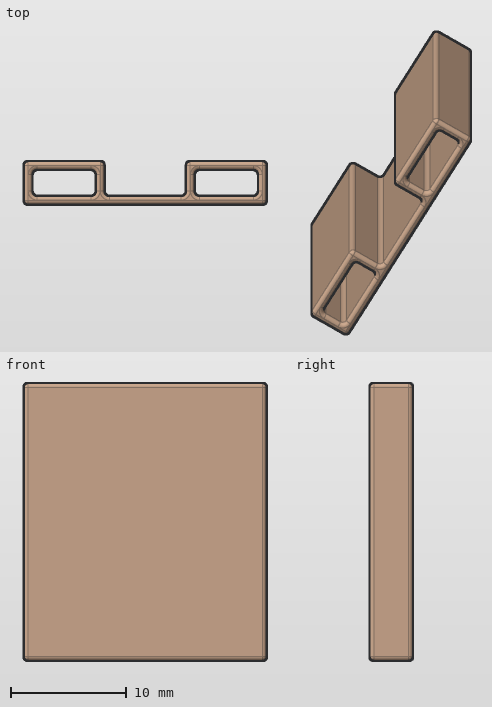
import cadquery as cq

width = 21.0
depth = 3.8
height = 24.0

wall = 0.8
sleeve_width = 7.0

edge_radius = 0.49 * wall


def upright_block(size_x, size_y, center_x, front_y):
    """Full-height block starting at front_y and extending toward +Y."""
    return (
        cq.Workplane("XY")
        .box(size_x, size_y, height, centered=(True, False, False))
        .translate((center_x, front_y, 0))
    )


body = upright_block(width, wall, 0, 0)

sleeve_offset = (width - sleeve_width) / 2
for side in (-1, 1):
    center_x = side * sleeve_offset
    outer = upright_block(sleeve_width, depth, center_x, 0)
    opening = upright_block(sleeve_width - 2 * wall, depth - 2 * wall, center_x, wall)
    body = body.union(outer).cut(opening)

result = body.clean().edges().fillet(edge_radius)